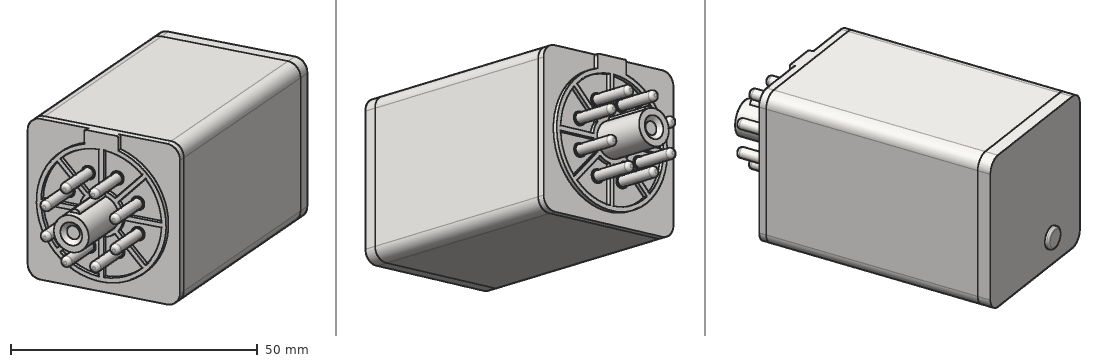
import cadquery as cq
import math

length = 69.6
case_side = 35.0
corner_radius = 3.0
cap_length = 3.0
flange_length = 1.7

boss_radius = 14.9
boss_height = 1.05
tab_width = 7.8
tab_edge_radius = 0.4

pocket_outer_radius = 13.85
pocket_inner_radius = 5.0
pocket_depth = 1.0
spoke_count = 8
spoke_width = 1.05
spoke_pitch = 360 / spoke_count

pin_circle_radius = 8.6
pin_angle = spoke_pitch / 2 + 0.6
pin_radius = 2.4 / 2
pin_length = 9.6
pin_tip_radius = 0.85
pin_collar_radius = 1.45
pin_collar_height = 0.3

post_radius = 8.0 / 2
post_length = 12.9
recess_mouth_radius = 2.5
recess_floor_radius = 1.45
recess_depth = 0.9
key_radius = 2.0 / 2
key_top = 4.8
key_length = 11.15

button_radius = 2.5
button_height = 0.9
button_edge_radius = 0.5
button_x = -6.25
button_z = -11.15

post_tip_y = -length / 2
plug_face_y = post_tip_y + post_length
flange_front_y = plug_face_y + boss_height
flange_back_y = flange_front_y + flange_length
case_back_y = length / 2 - button_height
cap_front_y = case_back_y - cap_length
pocket_floor_y = plug_face_y + pocket_depth


def plane_at(y):
    """XZ sketch plane at y; its normal points toward -Y."""
    return cq.Workplane("XZ", origin=(0, y, 0))


def case_block(front_y, back_y):
    """Slice of the rounded square case."""
    return (
        plane_at(back_y)
        .rect(case_side, case_side)
        .extrude(back_y - front_y)
        .edges("|Y")
        .fillet(corner_radius)
    )


def disc(radius, front_y, back_y, x=0.0, z=0.0):
    """Round bar along Y."""
    return plane_at(back_y).center(x, z).circle(radius).extrude(back_y - front_y)


def make_tab():
    """Tab from the boss to the top side of the case, with rounded top edges."""
    return (
        plane_at(flange_front_y)
        .center(0, case_side / 4)
        .rect(tab_width, case_side / 2)
        .extrude(boss_height)
        .edges("|Y and >Z")
        .fillet(tab_edge_radius)
    )


def make_pockets():
    """Ring of sector-shaped pockets, the spokes left standing between them."""
    ring = disc(pocket_outer_radius, plug_face_y, pocket_floor_y).cut(
        disc(pocket_inner_radius, plug_face_y, pocket_floor_y)
    )
    bar = (
        plane_at(pocket_floor_y)
        .rect(2 * boss_radius, spoke_width)
        .extrude(pocket_depth)
    )
    for i in range(spoke_count // 2):
        ring = ring.cut(bar.rotate((0, 0, 0), (0, 1, 0), i * spoke_pitch))
    return ring


def make_pin(x, z):
    """Round-tipped contact pin on a low collar."""
    tip_y = plug_face_y - pin_length
    pin = disc(pin_radius, tip_y, pocket_floor_y, x, z).faces("<Y").edges().fillet(pin_tip_radius)
    collar = disc(pin_collar_radius, pocket_floor_y - pin_collar_height, pocket_floor_y, x, z)
    return pin.union(collar)


def make_post():
    """Keyed locating post with a tapered recess in its tip."""
    post = disc(post_radius, post_tip_y, plug_face_y)
    key = disc(key_radius, plug_face_y - key_length, plug_face_y, z=key_top - key_radius)
    recess = (
        plane_at(post_tip_y + recess_depth)
        .circle(recess_floor_radius)
        .workplane(offset=recess_depth)
        .circle(recess_mouth_radius)
        .loft()
    )
    return post.union(key).cut(recess)


def make_base():
    """Plug base in one piece: flange, spoked face, pins and locating post."""
    base = case_block(flange_front_y, flange_back_y)
    base = base.union(disc(boss_radius, plug_face_y, flange_front_y)).union(make_tab())
    base = base.cut(make_pockets())
    for i in range(spoke_count):
        angle = math.radians(pin_angle + i * spoke_pitch)
        base = base.union(
            make_pin(pin_circle_radius * math.cos(angle), pin_circle_radius * math.sin(angle))
        )
    return base.union(make_post())


def make_cover():
    """Middle of the case, between the base flange and the cap."""
    return case_block(flange_back_y, cap_front_y)


def make_cap():
    """Slice of the case that closes the back of the cover."""
    return case_block(cap_front_y, case_back_y)


def make_button():
    """Round-edged button standing on the cap."""
    return (
        disc(button_radius, case_back_y, length / 2, button_x, button_z)
        .faces(">Y")
        .edges()
        .fillet(button_edge_radius)
    )


base = make_base()
cover = make_cover()
cap = make_cap()
button = make_button()

result = cq.Compound.makeCompound([base.val(), cover.val(), cap.val(), button.val()])